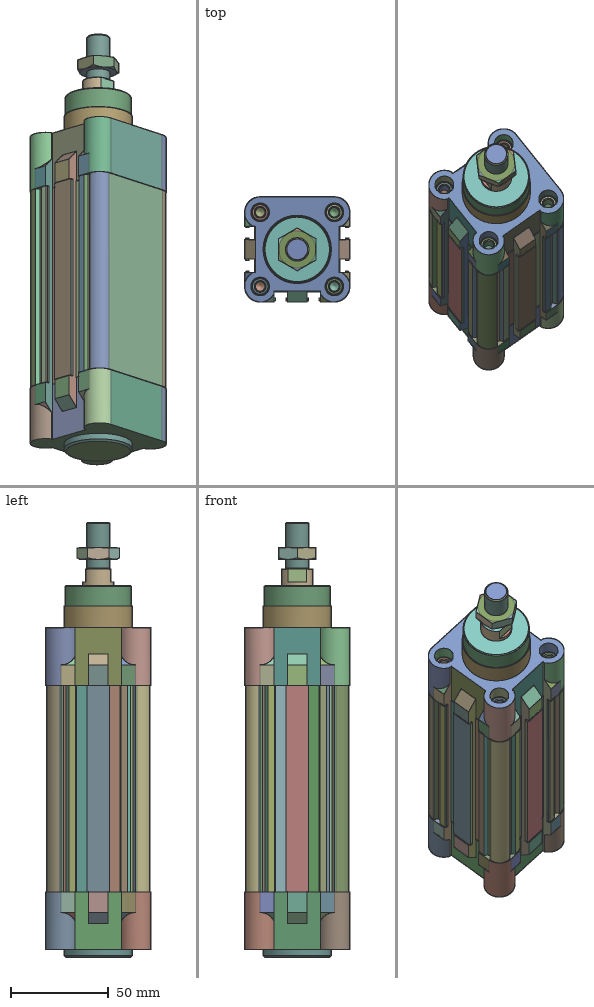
import cadquery as cq
import math

TOTAL_LENGTH = 223.0
REAR_COLLAR_LENGTH = 4.0
CAP_LENGTH = 29.6
BODY_LENGTH = 165.0
BODY_BOTTOM = REAR_COLLAR_LENGTH
BODY_TOP = BODY_BOTTOM + BODY_LENGTH
BARREL_BOTTOM = BODY_BOTTOM + CAP_LENGTH
BARREL_LENGTH = BODY_LENGTH - 2 * CAP_LENGTH

CAP_HALF = 27.0
SCREW_OFFSET = 19.0
CORNER_RADIUS = CAP_HALF - SCREW_OFFSET
RECESS_HALF_WIDTH = 11.8
RECESS_FACE = 21.45
RECESS_DEPTH = CAP_HALF - RECESS_FACE
LUG_LENGTH = 10.6
LUG_HALF_WIDTH = 5.0

COLLAR_DIAMETER = 35.0
NOSE_DIAMETER = 34.0
COLLAR_TOP = BODY_TOP + 11.0
NOSE_TOP = BODY_TOP + 21.5
COLLAR_CHAMFER = 1.0
NOSE_CHAMFER = 0.5

SCREW_BORE_DIAMETER = 9.5
SCREW_HEAD_DIAMETER = 9.0
SCREW_HEAD_TOP_DIAMETER = 8.0
SCREW_THREAD_DIAMETER = 6.0
SCREW_CORE_DIAMETER = 4.92
SCREW_HEAD_DEPTH = 7.0
SCREW_HOLE_DEPTH = 14.0
DRILL_POINT_ANGLE = 118.0

BARREL_HALF = 26.5
BARREL_CORNER_RADIUS = 6.75
SLOT_FLOOR = 21.8
SLOT_LIP_THICKNESS = 1.7
SLOT_LIP_CHAMFER = 0.5
SLOT_INNER_EDGE = LUG_HALF_WIDTH
SLOT_OUTER_EDGE = RECESS_HALF_WIDTH
SLOT_MOUTH_INNER = 5.75
SLOT_MOUTH_OUTER = 11.1
GROOVE_INNER = 15.1
GROOVE_SHOULDER = 16.5
GROOVE_BOTTOM = 17.8
GROOVE_OUTER = 19.1
GROOVE_SHOULDER_DEPTH = 1.5
GROOVE_DEPTH = 2.0

ROD_DIAMETER = 16.0
THREAD_DIAMETER = 12.0
THREAD_TIP_DIAMETER = 10.65
NECK_DIAMETER = 11.45
NECK_LENGTH = 0.5
THREAD_LENGTH = 24.0
FLAT_WIDTH = 13.0
FLAT_LENGTH = 6.5
ROD_SHOULDER = TOTAL_LENGTH - THREAD_LENGTH

NUT_WIDTH = 19.0
NUT_HEIGHT = 6.0
NUT_TOP = TOTAL_LENGTH - 13.0
NUT_BOTTOM = NUT_TOP - NUT_HEIGHT
NUT_TOP_CHAMFER_ANGLE = 10.0
NUT_BOTTOM_CHAMFER_ANGLE = 30.0

CORNERS = [(sx * SCREW_OFFSET, sy * SCREW_OFFSET) for sx in (-1, 1) for sy in (-1, 1)]
DETAILED_SIDES = (0, 90, -90)


def rounded_square(half_width, corner_radius, height):
    """Square block standing on Z = 0 with rounded vertical edges."""
    block = cq.Workplane("XY").rect(2 * half_width, 2 * half_width).extrude(height)
    return block.edges("|Z").fillet(corner_radius)


def block_between(x_limits, y_limits, z_limits):
    """Axis-aligned block given by its two limits on each axis."""
    sizes = [high - low for low, high in (x_limits, y_limits, z_limits)]
    corner = (x_limits[0], y_limits[0], z_limits[0])
    return cq.Workplane("XY").box(*sizes, centered=False).translate(corner)


def turned_to_side(body, angle):
    """Turn a body made for the -Y side about Z onto another side."""
    return body.rotate((0, 0, 0), (0, 0, 1), angle)


def cap_core():
    """Cap without lugs: a post at each corner, recessed between posts on every side but +Y."""
    core = cq.Workplane("XY").rect(2 * RECESS_FACE, 2 * RECESS_FACE).extrude(CAP_LENGTH)
    back = block_between((-SCREW_OFFSET, SCREW_OFFSET), (0, CAP_HALF), (0, CAP_LENGTH))
    core = core.union(back)
    for center in CORNERS:
        core = core.union(cq.Workplane("XY").center(*center).circle(CORNER_RADIUS).extrude(CAP_LENGTH))
    recess = block_between(
        (-RECESS_HALF_WIDTH, RECESS_HALF_WIDTH), (-CAP_HALF, -RECESS_FACE), (0, CAP_LENGTH)
    )
    for angle in DETAILED_SIDES:
        core = core.cut(turned_to_side(recess, angle))
    return core


def lug_slope(x_left, x_right):
    """Wedge on the -Y recess face with a 45 degree slope facing away from the barrel."""
    return (
        cq.Workplane("YZ", origin=(x_left, 0, 0))
        .moveTo(-CAP_HALF, CAP_LENGTH)
        .lineTo(-RECESS_FACE, CAP_LENGTH)
        .lineTo(-RECESS_FACE, CAP_LENGTH - LUG_LENGTH - RECESS_DEPTH)
        .lineTo(-CAP_HALF, CAP_LENGTH - LUG_LENGTH)
        .close()
        .extrude(x_right - x_left)
    )


def corner_lug():
    """Lug that fills the space between a recess and the post beside it on the -Y side."""
    post_meets_recess = -SCREW_OFFSET - math.sqrt(
        CORNER_RADIUS**2 - (SCREW_OFFSET - RECESS_HALF_WIDTH) ** 2
    )
    filler = (
        cq.Workplane("XY")
        .moveTo(RECESS_HALF_WIDTH, -CAP_HALF)
        .lineTo(RECESS_HALF_WIDTH, post_meets_recess)
        .radiusArc((SCREW_OFFSET, -CAP_HALF), -CORNER_RADIUS)
        .close()
        .extrude(CAP_LENGTH)
    )
    return filler.intersect(lug_slope(RECESS_HALF_WIDTH, CAP_HALF))


def end_cap():
    """Rear cap from Z = 0 up to the barrel, plain on its +Y side."""
    cap = cap_core()
    middle_lug = lug_slope(-LUG_HALF_WIDTH, LUG_HALF_WIDTH)
    right_lug = corner_lug()
    left_lug = right_lug.mirror("YZ")
    for angle in DETAILED_SIDES:
        for lug in (middle_lug, right_lug, left_lug):
            cap = cap.union(turned_to_side(lug, angle))
    return cap


def slot_cutter(hand):
    """T-slot in the -Y side of the barrel; hand picks the left or right half."""
    lip_face = BARREL_HALF - SLOT_LIP_THICKNESS
    return (
        cq.Workplane("XY")
        .polyline([
            (hand * SLOT_MOUTH_INNER, -BARREL_HALF),
            (hand * SLOT_MOUTH_INNER, -lip_face),
            (hand * SLOT_INNER_EDGE, -lip_face),
            (hand * SLOT_INNER_EDGE, -SLOT_FLOOR),
            (hand * SLOT_OUTER_EDGE, -SLOT_FLOOR),
            (hand * SLOT_OUTER_EDGE, -lip_face),
            (hand * SLOT_MOUTH_OUTER, -lip_face),
            (hand * SLOT_MOUTH_OUTER, -BARREL_HALF + SLOT_LIP_CHAMFER),
            (hand * (SLOT_MOUTH_OUTER + SLOT_LIP_CHAMFER), -BARREL_HALF),
        ])
        .close()
        .extrude(BARREL_LENGTH)
    )


def groove_cutter(hand):
    """Shallow sloping groove between a T-slot and the rounded barrel corner."""
    return (
        cq.Workplane("XY")
        .polyline([
            (hand * GROOVE_INNER, -BARREL_HALF),
            (hand * GROOVE_SHOULDER, -BARREL_HALF + GROOVE_SHOULDER_DEPTH),
            (hand * GROOVE_BOTTOM, -BARREL_HALF + GROOVE_DEPTH),
            (hand * GROOVE_OUTER, -BARREL_HALF),
        ])
        .close()
        .extrude(BARREL_LENGTH)
    )


def barrel():
    """Extruded barrel with slots on three sides, standing on Z = 0."""
    tube = rounded_square(BARREL_HALF, BARREL_CORNER_RADIUS, BARREL_LENGTH)
    for angle in DETAILED_SIDES:
        for hand in (-1, 1):
            cutters = slot_cutter(hand).union(groove_cutter(hand))
            tube = tube.cut(turned_to_side(cutters, angle))
    return tube


def screw_recess():
    """Empty space above and inside one cap screw, measured down from Z = 0."""
    bore = SCREW_BORE_DIAMETER / 2
    head = SCREW_HEAD_DIAMETER / 2
    head_top = SCREW_HEAD_TOP_DIAMETER / 2
    thread = SCREW_THREAD_DIAMETER / 2
    core = SCREW_CORE_DIAMETER / 2
    head_edge_depth = SCREW_HEAD_DEPTH + head - head_top
    core_depth = SCREW_HEAD_DEPTH + thread - core
    point_length = core / math.tan(math.radians(DRILL_POINT_ANGLE / 2))
    return (
        cq.Workplane("XZ")
        .polyline([
            (0, 0),
            (bore, 0),
            (bore, -head_edge_depth),
            (head, -head_edge_depth),
            (head_top, -SCREW_HEAD_DEPTH),
            (thread, -SCREW_HEAD_DEPTH),
            (core, -core_depth),
            (core, -SCREW_HOLE_DEPTH),
            (0, -SCREW_HOLE_DEPTH - point_length),
        ])
        .close()
        .revolve(360, (0, 0, 0), (0, 1, 0))
    )


def front_collar():
    """Two-step round collar on the front cap."""
    collar = cq.Workplane("XY", origin=(0, 0, BODY_TOP)).circle(COLLAR_DIAMETER / 2)
    collar = collar.extrude(COLLAR_TOP - BODY_TOP)
    nose = cq.Workplane("XY", origin=(0, 0, COLLAR_TOP)).circle(NOSE_DIAMETER / 2)
    nose = nose.extrude(NOSE_TOP - COLLAR_TOP).faces(">Z").chamfer(NOSE_CHAMFER)
    return collar.union(nose)


def rear_collar():
    """Centring collar under the rear cap, chamfered at its free end."""
    collar = cq.Workplane("XY").circle(COLLAR_DIAMETER / 2).extrude(REAR_COLLAR_LENGTH)
    return collar.faces("<Z").chamfer(COLLAR_CHAMFER)


def cylinder_housing():
    """Caps, barrel and collars, bored for the rod and the cap screws."""
    rear_cap = end_cap().translate((0, 0, BODY_BOTTOM))
    front_cap = end_cap().mirror("XY").translate((0, 0, BODY_TOP))
    housing = rear_cap.union(barrel().translate((0, 0, BARREL_BOTTOM))).union(front_cap)
    housing = housing.union(front_collar()).union(rear_collar())
    for x, y in CORNERS:
        housing = housing.cut(screw_recess().translate((x, y, BODY_TOP)))
    rod_bore = cq.Workplane("XY", origin=(0, 0, BODY_TOP)).circle(ROD_DIAMETER / 2)
    return housing.cut(rod_bore.extrude(NOSE_TOP - BODY_TOP))


def piston_rod():
    """Rod with two wrench flats and a threaded end, seated in the collar."""
    rod = cq.Workplane("XY", origin=(0, 0, BODY_TOP)).circle(ROD_DIAMETER / 2)
    rod = rod.extrude(ROD_SHOULDER - BODY_TOP)
    for y_limits in ((-ROD_DIAMETER, -FLAT_WIDTH / 2), (FLAT_WIDTH / 2, ROD_DIAMETER)):
        rod = rod.cut(
            block_between(
                (-ROD_DIAMETER, ROD_DIAMETER), y_limits, (ROD_SHOULDER - FLAT_LENGTH, ROD_SHOULDER)
            )
        )
    thread = cq.Workplane("XY", origin=(0, 0, ROD_SHOULDER)).circle(THREAD_DIAMETER / 2)
    thread = thread.extrude(THREAD_LENGTH)
    thread = thread.faces(">Z").chamfer((THREAD_DIAMETER - THREAD_TIP_DIAMETER) / 2)
    neck = cq.Workplane("XY", origin=(0, 0, ROD_SHOULDER))
    neck = neck.circle(THREAD_DIAMETER / 2).circle(NECK_DIAMETER / 2).extrude(NECK_LENGTH)
    return rod.union(thread.cut(neck))


def lock_nut():
    """Hexagon nut with two sides facing +X and -X, chamfered at both ends."""
    across_corners = NUT_WIDTH / math.cos(math.radians(30))
    chamfer_width = (across_corners - NUT_WIDTH) / 2
    top_chamfer = chamfer_width * math.tan(math.radians(NUT_TOP_CHAMFER_ANGLE))
    bottom_chamfer = chamfer_width * math.tan(math.radians(NUT_BOTTOM_CHAMFER_ANGLE))
    hexagon = cq.Workplane("XY").polygon(6, across_corners).extrude(NUT_HEIGHT)
    hexagon = hexagon.rotate((0, 0, 0), (0, 0, 1), 30)
    envelope = (
        cq.Workplane("XZ")
        .polyline([
            (0, 0),
            (NUT_WIDTH / 2, 0),
            (across_corners / 2, bottom_chamfer),
            (across_corners / 2, NUT_HEIGHT - top_chamfer),
            (NUT_WIDTH / 2, NUT_HEIGHT),
            (0, NUT_HEIGHT),
        ])
        .close()
        .revolve(360, (0, 0, 0), (0, 1, 0))
    )
    hole = cq.Workplane("XY").circle(THREAD_DIAMETER / 2).extrude(NUT_HEIGHT)
    return hexagon.intersect(envelope).cut(hole).translate((0, 0, NUT_BOTTOM))


housing = cylinder_housing()
rod = piston_rod()
nut = lock_nut()

result = cq.Compound.makeCompound([housing.val(), rod.val(), nut.val()])